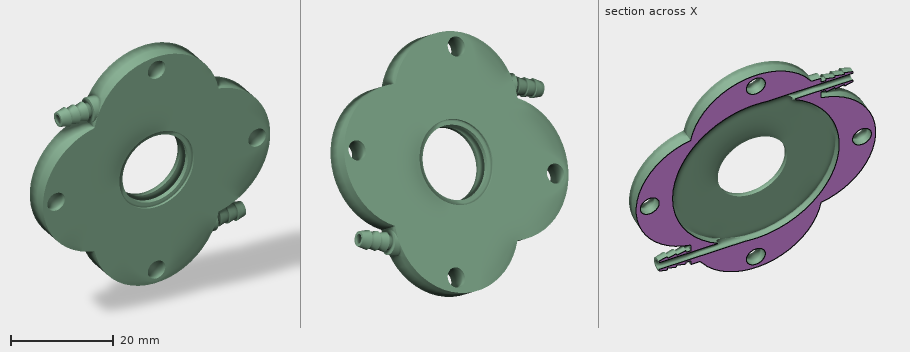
import cadquery as cq

thickness = 5.0
outer_radius = 26.0
lobe_radius = 14.4
lobe_offset = outer_radius - lobe_radius
mount_hole_diameter = 4.0
mount_hole_offset = 23.0

opening_radius = 7.5
recess_radius = 8.55
recess_depth = 0.5
channel_radius = 18.0
channel_width = 2.0

fitting_bore_radius = channel_width / 2
fitting_height = channel_radius - fitting_bore_radius
collar_radius = thickness / 2
collar_start = 9.35
collar_end = 14.15
neck_radius = 1.5
neck_length = 1.0
barb_radius = 2.0
barb_length = 2.0
barb_count = 3
barbs_start = collar_end + neck_length
fitting_tip = barbs_start + barb_count * barb_length

lobe_centers = [(lobe_offset, 0), (0, lobe_offset), (-lobe_offset, 0), (0, -lobe_offset)]
hole_centers = [
    (mount_hole_offset, 0),
    (0, mount_hole_offset),
    (-mount_hole_offset, 0),
    (0, -mount_hole_offset),
]


def disc(radius, width, center_x=0):
    """Cylinder about the X axis, centred at center_x."""
    return cq.Workplane("YZ").circle(radius).extrude(width / 2, both=True).translate((center_x, 0, 0))


def lobed_plate():
    plate = cq.Workplane("YZ").rect(2 * lobe_offset, 2 * lobe_offset).extrude(thickness / 2, both=True)
    for center_y, center_z in lobe_centers:
        plate = plate.union(disc(lobe_radius, thickness).translate((0, center_y, center_z)))
    return plate


def mounting_holes():
    return (
        cq.Workplane("YZ")
        .pushPoints(hole_centers)
        .circle(mount_hole_diameter / 2)
        .extrude(thickness, both=True)
    )


def central_cavity():
    cavity = disc(opening_radius, thickness).union(disc(channel_radius, channel_width))
    for side in (-1, 1):
        recess_center = side * (thickness - recess_depth) / 2
        cavity = cavity.union(disc(recess_radius, recess_depth, recess_center))
    return cavity


def place_fitting(body, side):
    """Move a body from the Y axis to the -Y top side (0) or the +Y bottom side (1)."""
    raised = body.translate((0, 0, fitting_height))
    return raised.rotate((0, 0, 0), (1, 0, 0), 180 * side)


def fitting_body():
    """Collar, neck and tapered barbs revolved about Y, pointing toward -Y."""
    profile = (
        cq.Workplane("XY")
        .moveTo(0, -collar_start)
        .lineTo(collar_radius, -collar_start)
        .lineTo(collar_radius, -collar_end)
        .lineTo(neck_radius, -collar_end)
        .lineTo(neck_radius, -barbs_start)
    )
    for index in range(barb_count):
        barb_start = barbs_start + index * barb_length
        profile = profile.lineTo(barb_radius, -barb_start)
        profile = profile.lineTo(neck_radius, -(barb_start + barb_length))
    return profile.lineTo(0, -fitting_tip).close().revolve(360, (0, 0, 0), (0, 1, 0))


def fitting_bore():
    """Passage from the fitting tip to the ring channel."""
    return cq.Workplane("XZ").circle(fitting_bore_radius).extrude(fitting_tip)


result = lobed_plate()
for side in range(2):
    result = result.union(place_fitting(fitting_body(), side))
result = result.cut(mounting_holes()).cut(central_cavity())
for side in range(2):
    result = result.cut(place_fitting(fitting_bore(), side))